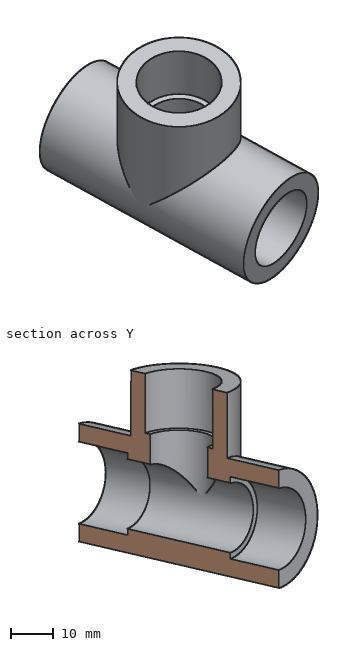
import cadquery as cq

run_length = 60.0
total_height = 45.0
outer_diameter = 29.0
socket_diameter = 20.0
bore_diameter = 17.0
socket_depth = 14.5

run_reach = run_length / 2
branch_reach = total_height - outer_diameter / 2

run_direction = cq.Vector(1, 0, 0)
branch_direction = cq.Vector(0, 0, 1)
arms = [
    (run_direction, run_reach),
    (-run_direction, run_reach),
    (branch_direction, branch_reach),
]


def cylinder(diameter, start, end, direction):
    """Cylinder along direction, between two distances from the centre."""
    return cq.Workplane(
        cq.Solid.makeCylinder(diameter / 2, end - start, direction * start, direction)
    )


body = cylinder(outer_diameter, -run_reach, run_reach, run_direction)
body = body.union(cylinder(outer_diameter, 0, branch_reach, branch_direction))

body = body.cut(cylinder(bore_diameter, -run_reach, run_reach, run_direction))
body = body.cut(cylinder(bore_diameter, 0, branch_reach, branch_direction))

for direction, reach in arms:
    body = body.cut(cylinder(socket_diameter, reach - socket_depth, reach, direction))

result = body